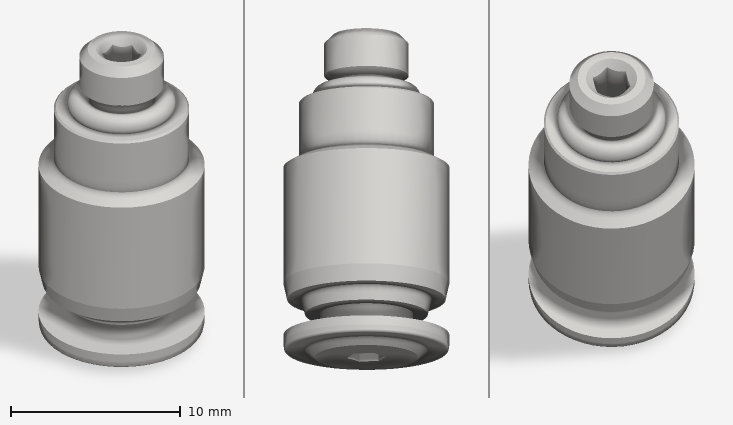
import cadquery as cq
import math

height = 19.5
body_radius = 9.8 / 2

button_face_radius = 3.05
button_cone_radius = 3.65
flange_bottom = 0.39
flange_edge_round = 0.15
flange_draft_top = 0.8
flange_draft = 0.04
flange_top = 1.35
neck_radius = 5.5 / 2
neck_fillet = 0.47

collar_bottom = 2.61
collar_bottom_radius = 3.63
collar_top_radius = 3.86
body_bottom = 3.51
body_bottom_radius = 4.68
body_taper_top = 4.5

body_top = 11.5
shoulder_bottom = 12.01
shoulder_radius = 8.0 / 2
shoulder_top = 15.5
shoulder_chamfer = 0.12

undercut_radius = 3.8 / 2
undercut_top = 16.71
stud_radius = 5.0 / 2
stud_bottom = 17.08
stud_end_radius = 4.0 / 2
stud_chamfer = stud_radius - stud_end_radius

ring_outer_radius = 3.2
ring_tube_radius = (ring_outer_radius - undercut_radius) / 2
ring_center_z = 15.8

hex_across_flats = 2.0
lead_in_radius = 1.5


def turned_body():
    """Revolve the outer profile, drawn as radius against height."""
    draft_radius = body_radius - flange_draft
    edge_drop = flange_edge_round * math.sqrt(0.5)
    edge_mid = (
        draft_radius - flange_edge_round + edge_drop,
        flange_bottom + flange_edge_round - edge_drop,
    )
    fillet_drop = neck_fillet * (1 - math.sqrt(0.5))
    fillet_mid = (neck_radius + fillet_drop, flange_top + fillet_drop)
    profile = (
        cq.Workplane("XZ")
        .lineTo(button_face_radius, 0)
        .lineTo(button_cone_radius, flange_bottom)
        .lineTo(draft_radius - flange_edge_round, flange_bottom)
        .threePointArc(edge_mid, (draft_radius, flange_bottom + flange_edge_round))
        .lineTo(body_radius, flange_draft_top)
        .lineTo(body_radius, flange_top)
        .lineTo(neck_radius + neck_fillet, flange_top)
        .threePointArc(fillet_mid, (neck_radius, flange_top + neck_fillet))
        .lineTo(neck_radius, collar_bottom)
        .lineTo(collar_bottom_radius, collar_bottom)
        .lineTo(collar_top_radius, body_bottom)
        .lineTo(body_bottom_radius, body_bottom)
        .lineTo(body_radius, body_taper_top)
        .lineTo(body_radius, body_top)
        .lineTo(shoulder_radius, shoulder_bottom)
        .lineTo(shoulder_radius, shoulder_top - shoulder_chamfer)
        .lineTo(shoulder_radius - shoulder_chamfer, shoulder_top)
        .lineTo(undercut_radius, shoulder_top)
        .lineTo(undercut_radius, undercut_top)
        .lineTo(stud_radius, stud_bottom)
        .lineTo(stud_radius, height - stud_chamfer)
        .lineTo(stud_end_radius, height)
        .lineTo(0, height)
        .close()
    )
    return profile.revolve(360, (0, 0, 0), (0, 1, 0))


def sealing_ring():
    """Round-section ring around the undercut, sunk into the shoulder face."""
    section = (
        cq.Workplane("XZ")
        .center(ring_outer_radius - ring_tube_radius, ring_center_z)
        .circle(ring_tube_radius)
    )
    axis_x = ring_tube_radius - ring_outer_radius
    return section.revolve(360, (axis_x, 0, 0), (axis_x, 1, 0))


def hex_passage():
    """Hexagonal hole along the whole part, with two corners on the Y axis."""
    across_corners = hex_across_flats / math.cos(math.pi / 6)
    return (
        cq.Workplane("XY")
        .transformed(rotate=(0, 0, 90))
        .polygon(6, across_corners)
        .extrude(height)
    )


def lead_in():
    """45 degree conical mouth of the passage in the stud's end face."""
    return cq.Workplane(
        cq.Solid.makeCone(0, lead_in_radius, lead_in_radius, cq.Vector(0, 0, height - lead_in_radius))
    )


result = turned_body().union(sealing_ring()).cut(hex_passage()).cut(lead_in())